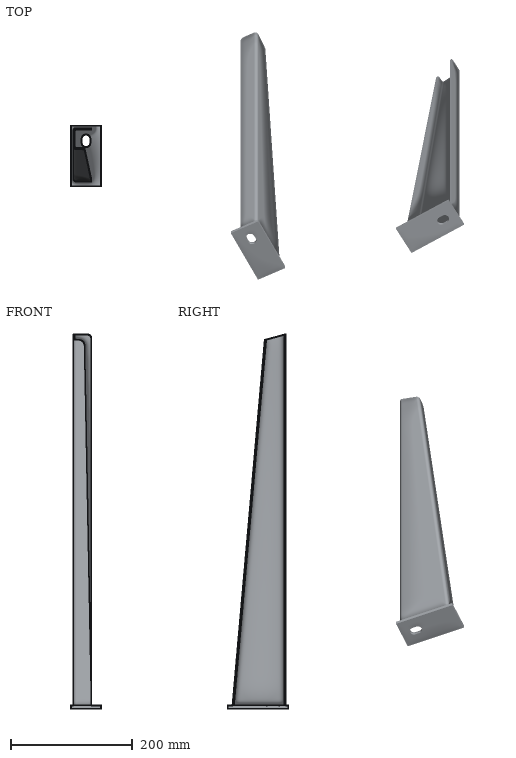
import cadquery as cq

plate_width = 50.0
plate_length = 100.0
plate_thickness = 6.0
slot_width = 14.0
slot_length = 20.5
slot_from_back = 25.0

total_height = 616.0
sheet = 2.5
bend_radius = 5.0
flange_width = 30.0
edge_margin = 4.0
depth_bottom = 88.0
depth_top = 35.0

top_drop = 9.5
front_flange_top_width = 18.6
front_corner_radius = 9.0
back_corner_radius = 7.5

web_x = edge_margin - plate_width / 2
bend_end_x = web_x + bend_radius
flange_x = web_x + flange_width
flange_top_x = web_x + front_flange_top_width
back_y = plate_length / 2 - edge_margin
front_y_bottom = back_y - depth_bottom
front_y_top = back_y - depth_top
front_top_z = total_height - top_drop
front_lean = (front_y_top - front_y_bottom) / (front_top_z - plate_thickness)
front_y_peak = front_y_bottom + front_lean * (total_height - plate_thickness)


def make_plate():
    plate = cq.Workplane("XY").box(plate_width, plate_length, plate_thickness, centered=(True, True, False))
    slot = (
        cq.Workplane("XY")
        .center(0, plate_length / 2 - slot_from_back)
        .slot2D(slot_length, slot_width, 90)
        .extrude(plate_thickness)
    )
    return plate.cut(slot)


def tapered_block(x_start, wall_inset, bend):
    """Block set in from the flanges' outer faces by wall_inset, with its two web-side edges rounded."""
    front_inset = wall_inset * (1 + front_lean**2) ** 0.5
    return (
        cq.Workplane("YZ", origin=(x_start, 0, 0))
        .moveTo(back_y - wall_inset, plate_thickness)
        .lineTo(back_y - wall_inset, total_height)
        .lineTo(front_y_peak + front_inset, total_height)
        .lineTo(front_y_bottom + front_inset, plate_thickness)
        .close()
        .extrude(flange_x - x_start)
        .faces("<X")
        .edges("<Y or >Y")
        .fillet(bend)
    )


def top_waste():
    """Material above the web's top edge, which slopes down from the back flange to the front flange."""
    return (
        cq.Workplane("YZ", origin=(web_x, 0, 0))
        .moveTo(back_y, total_height)
        .lineTo(front_y_top, front_top_z)
        .lineTo(front_y_bottom, front_top_z)
        .lineTo(front_y_bottom, total_height)
        .close()
        .extrude(flange_width)
    )


def front_flange_waste():
    """Material above and beside the front flange, which narrows upwards to a rounded, level top."""
    beside_flange = (
        cq.Workplane("XZ", origin=(0, back_y, 0))
        .moveTo(flange_x, plate_thickness)
        .lineTo(flange_top_x, front_top_z - front_corner_radius)
        .radiusArc((flange_top_x - front_corner_radius, front_top_z), -front_corner_radius)
        .lineTo(bend_end_x, front_top_z)
        .lineTo(bend_end_x, total_height)
        .lineTo(flange_x, total_height)
        .close()
        .extrude(depth_bottom)
    )
    zone_depth = 2 * sheet
    front_zone = (
        cq.Workplane("YZ", origin=(web_x, 0, 0))
        .moveTo(front_y_bottom, plate_thickness)
        .lineTo(front_y_bottom + zone_depth, plate_thickness)
        .lineTo(front_y_peak + zone_depth, total_height)
        .lineTo(front_y_bottom, total_height)
        .close()
        .extrude(flange_width)
    )
    return beside_flange.intersect(front_zone)


def make_upright():
    outside = tapered_block(web_x, 0, bend_radius)
    inside = tapered_block(web_x + sheet, sheet, bend_radius - sheet)
    channel = outside.cut(inside).cut(top_waste()).cut(front_flange_waste())
    back_corner = cq.selectors.NearestToPointSelector((flange_x, back_y - sheet / 2, total_height))
    return channel.edges(back_corner).fillet(back_corner_radius)


plate = make_plate()
upright = make_upright()

result = cq.Compound.makeCompound([plate.val(), upright.val()])